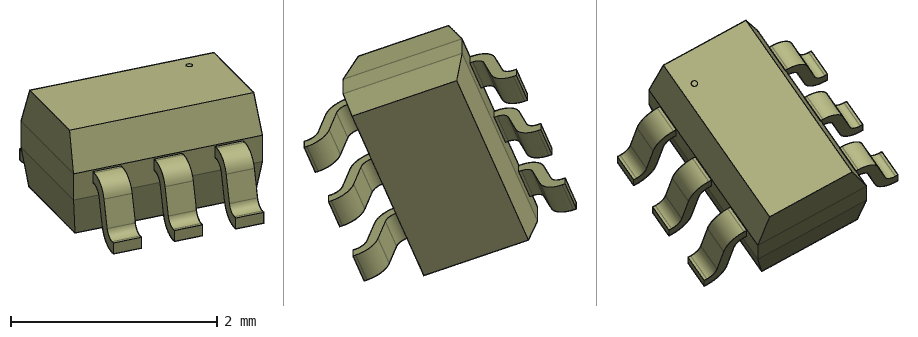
import cadquery as cq
import math

housing_width = 1.24
housing_length = 2.01
housing_height = 1.09
lower_height = 0.405
upper_height = 0.40
band_height = housing_height - lower_height - upper_height
band_top = lower_height + band_height
top_inset_x = 0.15
top_inset_y = 0.025
bottom_inset_x = 0.075
bottom_inset_y = 0.05

lead_span = 2.21
lead_width = 0.30
lead_thickness = 0.12
lead_pitch = 0.65
leads_per_side = 3
lead_top = 0.672
leg_angle = 75
inner_radius = 0.12
outer_radius = inner_radius + lead_thickness

marker_diameter = 0.062
marker_depth = 0.02
marker_inset = 0.15
marker_x = -(housing_width / 2 - top_inset_x) + marker_inset
marker_y = lead_pitch


def tapered_block(band_z, end_z, inset_x, inset_y):
    """Solid from the full band outline to a smaller rectangle at end_z."""
    return (
        cq.Workplane("XY", origin=(0, 0, band_z))
        .rect(housing_width, housing_length)
        .workplane(offset=end_z - band_z)
        .rect(housing_width - 2 * inset_x, housing_length - 2 * inset_y)
        .loft(ruled=True)
    )


def make_marker():
    return (
        cq.Workplane("XY", origin=(marker_x, marker_y, housing_height - marker_depth))
        .circle(marker_diameter / 2)
        .extrude(marker_depth)
    )


def make_housing():
    band = (
        cq.Workplane("XY", origin=(0, 0, lower_height))
        .rect(housing_width, housing_length)
        .extrude(band_height)
    )
    upper = tapered_block(band_top, housing_height, top_inset_x, top_inset_y)
    lower = tapered_block(lower_height, 0, bottom_inset_x, bottom_inset_y)
    return band.union(upper).union(lower).cut(make_marker())


def make_lead(y_center):
    """Lead on the +X side: flat at the housing, bend down, leg, bend out, foot."""
    root_x = housing_width / 2
    tip_x = lead_span / 2
    angle = math.radians(leg_angle)

    bend_run = (inner_radius + outer_radius) * math.sin(angle)
    bend_drop = (inner_radius + outer_radius) * (1 - math.cos(angle))
    leg_drop = lead_top - lead_thickness - bend_drop
    leg_run = leg_drop / math.tan(angle)
    flat = (tip_x - root_x - bend_run - leg_run) / 2

    shoulder_x = root_x + flat
    shoulder_z = lead_top - outer_radius
    foot_x = tip_x - flat
    foot_z = outer_radius

    def on_shoulder(radius, turn):
        return (shoulder_x + radius * math.sin(turn), shoulder_z + radius * math.cos(turn))

    def on_foot(radius, turn):
        return (foot_x - radius * math.sin(turn), foot_z - radius * math.cos(turn))

    half = angle / 2
    return (
        cq.Workplane("XZ", origin=(0, y_center + lead_width / 2, 0))
        .moveTo(root_x, lead_top)
        .lineTo(*on_shoulder(outer_radius, 0))
        .threePointArc(on_shoulder(outer_radius, half), on_shoulder(outer_radius, angle))
        .lineTo(*on_foot(inner_radius, angle))
        .threePointArc(on_foot(inner_radius, half), on_foot(inner_radius, 0))
        .lineTo(tip_x, lead_thickness)
        .lineTo(tip_x, 0)
        .lineTo(*on_foot(outer_radius, 0))
        .threePointArc(on_foot(outer_radius, half), on_foot(outer_radius, angle))
        .lineTo(*on_shoulder(inner_radius, angle))
        .threePointArc(on_shoulder(inner_radius, half), on_shoulder(inner_radius, 0))
        .lineTo(root_x, lead_top - lead_thickness)
        .close()
        .extrude(lead_width)
    )


housing = make_housing()
marker = make_marker()

leads = []
for index in range(leads_per_side):
    lead_y = (index - (leads_per_side - 1) / 2) * lead_pitch
    right_lead = make_lead(lead_y)
    left_lead = right_lead.mirror("YZ")
    leads += [right_lead.val(), left_lead.val()]

result = cq.Compound.makeCompound([housing.val(), marker.val(), *leads])